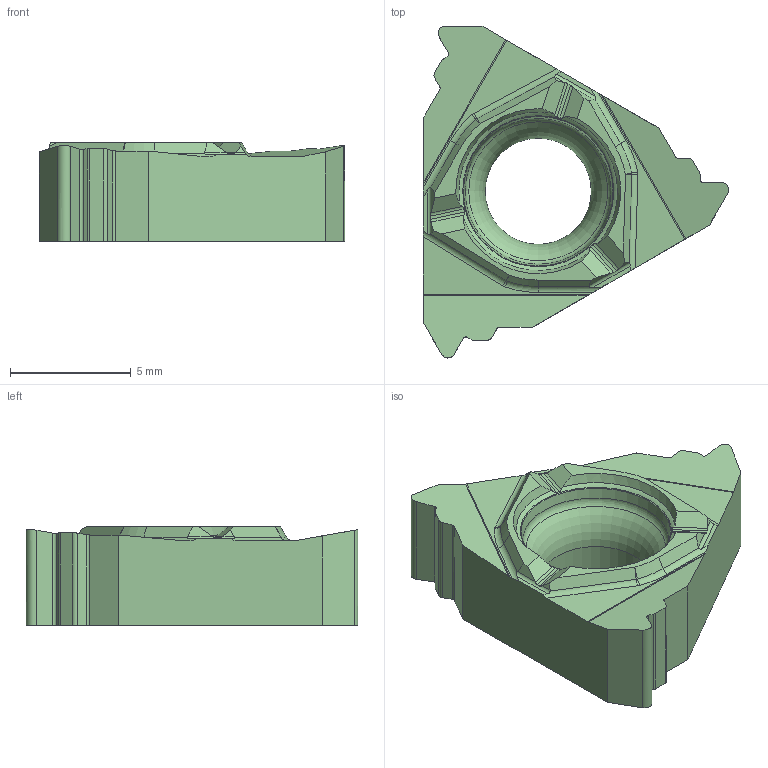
import cadquery as cq
import math

CORNER_COUNT = 3
CORNER_PITCH = 360 / CORNER_COUNT

TOTAL_HEIGHT = 4.1
FLOOR_HEIGHT = 3.51

INSCRIBED_RADIUS = 9.525 / 2
LEFT_SIDE = (180, INSCRIBED_RADIUS)
LEADING_FLANK = (210, 6.845)
TRAILING_FLANK = (330, 0.36)
ROOT_WALL = (240, 6.713)
CREST = (270, 6.17)
SHOULDER_WALL = (330, 1.366)
SHOULDER = (270, 5.64)
RIGHT_SIDE = (300, INSCRIBED_RADIUS)
TIP_RADIUS = 0.3
ROOT_RADIUS = 0.12
CREST_RADIUS = 0.2

RAKE_ANGLE = 10
RAKE_START = 4.286
RAKE_BLEND_RADIUS = 0.25

BOSS_ARC_RADIUS = 3.685
BOSS_ARC_START_ANGLE = 270
BOSS_ARC_END_ANGLE = 251
BOSS_OBLIQUE_ANGLE = 238.3
BOSS_WALL_TAPER = 30
BOSS_FOOT_RADIUS = 0.3

END_TOP_DISTANCE = 4.29
END_WALL_TAPER = 20
END_FILLET_RADIUS = 0.16
END_LEDGE_HEIGHT = 3.585
END_Y_RANGE = (-2.1, 0.4)

NOTCH_ANGLE = 192
NOTCH_OFFSET = 0.145
NOTCH_FLOOR_HEIGHT = 3.63
NOTCH_FLOOR_WIDTH = 0.26
NOTCH_FLOOR_RADIUS = 0.2
NOTCH_WALL_ANGLE = 37
NOTCH_START = 2.5

BORE_RADIUS = 4.4 / 2
BORE_THROAT_HEIGHT = 1.25
THROAT_ARC_RADIUS = 2.1
THROAT_ARC_TOP = 2.8
HEAD_WALL_BOTTOM = (3.03, 3.13)
HEAD_WALL_TOP = (3.1, 3.57)
LEDGE_INNER_RADIUS = 3.13
LEDGE_HEIGHT = 3.6
RIM_FOOT = (3.29, 3.72)
RIM_RADIUS = 3.42

REACH = 3 * INSCRIBED_RADIUS
FOOT_REACH = REACH / 2
TOLERANCE = 0.01


def polar(radius, angle):
    """Point at a radius and an angle in degrees."""
    return (radius * math.cos(math.radians(angle)), radius * math.sin(math.radians(angle)))


def turned(point, angle):
    """Point rotated about the origin by an angle in degrees."""
    x, y = point
    c, s = polar(1, angle)
    return (x * c - y * s, x * s + y * c)


def crossing(edge_a, edge_b):
    """Point where two straight edges, each (normal angle, distance), meet."""
    ax, ay = polar(1, edge_a[0])
    bx, by = polar(1, edge_b[0])
    det = ax * by - ay * bx
    return ((edge_a[1] * by - edge_b[1] * ay) / det, (edge_b[1] * ax - edge_a[1] * bx) / det)


def around_corners(solid):
    """The solid repeated at every corner of the insert."""
    return [solid.rotate((0, 0, 0), (0, 0, 1), i * CORNER_PITCH) for i in range(CORNER_COUNT)]


def make_prism():
    """Straight prism with the full plan outline of the insert."""
    edges = [LEFT_SIDE, LEADING_FLANK, TRAILING_FLANK, ROOT_WALL, CREST, SHOULDER_WALL, SHOULDER, RIGHT_SIDE]
    corner = [crossing(a, b) for a, b in zip(edges, edges[1:])]
    outline = [turned(p, i * CORNER_PITCH) for i in range(CORNER_COUNT) for p in corner]
    prism = cq.Workplane("XY").polyline(outline).close().extrude(TOTAL_HEIGHT)

    rounded = [
        (LEADING_FLANK, TRAILING_FLANK, TIP_RADIUS),
        (TRAILING_FLANK, ROOT_WALL, ROOT_RADIUS),
        (ROOT_WALL, CREST, CREST_RADIUS),
        (CREST, SHOULDER_WALL, CREST_RADIUS),
        (SHOULDER_WALL, SHOULDER, ROOT_RADIUS),
    ]
    for edge_a, edge_b, radius in rounded:
        for i in range(CORNER_COUNT):
            x, y = turned(crossing(edge_a, edge_b), i * CORNER_PITCH)
            nearest = cq.selectors.NearestToPointSelector((x, y, TOTAL_HEIGHT / 2))
            prism = prism.edges("|Z").edges(nearest).fillet(radius)
    return prism


def make_boss():
    """Floor slab with the tapered boss on it and a rounded foot.

    The sides of the boss run on to sharp corners beyond the body outline.
    """
    oblique_distance = BOSS_ARC_RADIUS * math.cos(math.radians(BOSS_ARC_END_ANGLE - BOSS_OBLIQUE_ANGLE))
    oblique_edge = (BOSS_OBLIQUE_ANGLE, oblique_distance)
    flat_edge = (BOSS_ARC_START_ANGLE - CORNER_PITCH, BOSS_ARC_RADIUS)
    corner = crossing(flat_edge, oblique_edge)
    arc_mid_angle = (BOSS_ARC_START_ANGLE + BOSS_ARC_END_ANGLE) / 2

    outline = cq.Workplane("XY", origin=(0, 0, TOTAL_HEIGHT)).moveTo(*corner)
    for i in range(CORNER_COUNT):
        turn = i * CORNER_PITCH
        outline = outline.lineTo(*polar(BOSS_ARC_RADIUS, BOSS_ARC_END_ANGLE + turn))
        outline = outline.threePointArc(
            polar(BOSS_ARC_RADIUS, arc_mid_angle + turn),
            polar(BOSS_ARC_RADIUS, BOSS_ARC_START_ANGLE + turn),
        )
        if i < CORNER_COUNT - 1:
            outline = outline.lineTo(*turned(corner, turn + CORNER_PITCH))
    boss = outline.close().extrude(FLOOR_HEIGHT - TOTAL_HEIGHT, taper=-BOSS_WALL_TAPER)

    slab = cq.Workplane("XY").circle(REACH).extrude(FLOOR_HEIGHT)
    foot_box = cq.selectors.BoxSelector(
        (-FOOT_REACH, -FOOT_REACH, FLOOR_HEIGHT - TOLERANCE),
        (FOOT_REACH, FOOT_REACH, FLOOR_HEIGHT + TOLERANCE),
        boundingbox=True,
    )
    return slab.union(boss).edges(foot_box).fillet(BOSS_FOOT_RADIUS)


def make_end_cut():
    """Cutter that leaves the end face and ledge on the boss corner at the -X side."""
    y_low, y_high = END_Y_RANGE
    drop = TOTAL_HEIGHT - END_LEDGE_HEIGHT
    wall_foot = END_TOP_DISTANCE + drop * math.tan(math.radians(END_WALL_TAPER))
    cut = (
        cq.Workplane("XZ", origin=(0, y_high, 0))
        .moveTo(-END_TOP_DISTANCE, TOTAL_HEIGHT)
        .lineTo(-wall_foot, END_LEDGE_HEIGHT)
        .lineTo(-REACH, END_LEDGE_HEIGHT)
        .lineTo(-REACH, TOTAL_HEIGHT)
        .close()
        .extrude(y_high - y_low)
    )
    foot = cq.selectors.NearestToPointSelector((-wall_foot, (y_low + y_high) / 2, END_LEDGE_HEIGHT))
    return cut.edges("|Y").edges(foot).fillet(END_FILLET_RADIUS)


def make_rake():
    """Wedge of the -Y corner: a ramp blended tangentially into the floor."""
    blend = RAKE_BLEND_RADIUS * math.tan(math.radians(RAKE_ANGLE / 2))
    rise = (REACH - RAKE_START) * math.tan(math.radians(RAKE_ANGLE))
    centre = (-RAKE_START + blend, FLOOR_HEIGHT + RAKE_BLEND_RADIUS)

    def blend_point(angle):
        dx, dz = polar(RAKE_BLEND_RADIUS, 270 - angle)
        return (centre[0] + dx, centre[1] + dz)

    return (
        cq.Workplane("YZ", origin=(-REACH, 0, 0))
        .moveTo(*blend_point(0))
        .threePointArc(blend_point(RAKE_ANGLE / 2), blend_point(RAKE_ANGLE))
        .lineTo(-REACH, FLOOR_HEIGHT + rise)
        .lineTo(-REACH, 0)
        .lineTo(centre[0], 0)
        .close()
        .extrude(2 * REACH)
    )


def make_notch():
    """V-shaped cutter with a flat floor running outwards across the boss."""
    depth = TOTAL_HEIGHT - NOTCH_FLOOR_HEIGHT
    half_floor = NOTCH_FLOOR_WIDTH / 2
    half_top = half_floor + depth / math.tan(math.radians(NOTCH_WALL_ANGLE))
    notch = (
        cq.Workplane("YZ", origin=(NOTCH_START, 0, 0))
        .moveTo(NOTCH_OFFSET - half_floor, NOTCH_FLOOR_HEIGHT)
        .lineTo(NOTCH_OFFSET + half_floor, NOTCH_FLOOR_HEIGHT)
        .lineTo(NOTCH_OFFSET + half_top, TOTAL_HEIGHT)
        .lineTo(NOTCH_OFFSET - half_top, TOTAL_HEIGHT)
        .close()
        .extrude(REACH)
        .edges("|X and <Z")
        .fillet(NOTCH_FLOOR_RADIUS)
    )
    return notch.rotate((0, 0, 0), (0, 0, 1), NOTCH_ANGLE)


def make_bore():
    """Stepped screw bore: cylinder, curved throat, steep head wall, ledge and flared rim."""
    throat_centre = (BORE_RADIUS + THROAT_ARC_RADIUS, BORE_THROAT_HEIGHT)
    throat_angle = math.degrees(math.asin((THROAT_ARC_TOP - BORE_THROAT_HEIGHT) / THROAT_ARC_RADIUS))

    def throat_point(angle):
        dx, dz = polar(THROAT_ARC_RADIUS, 180 - angle)
        return (throat_centre[0] + dx, throat_centre[1] + dz)

    return (
        cq.Workplane("XZ")
        .moveTo(0, 0)
        .lineTo(BORE_RADIUS, 0)
        .lineTo(BORE_RADIUS, BORE_THROAT_HEIGHT)
        .threePointArc(throat_point(throat_angle / 2), throat_point(throat_angle))
        .tangentArcPoint(HEAD_WALL_BOTTOM, relative=False)
        .lineTo(*HEAD_WALL_TOP)
        .lineTo(LEDGE_INNER_RADIUS, LEDGE_HEIGHT)
        .tangentArcPoint(RIM_FOOT, relative=False)
        .lineTo(RIM_RADIUS, TOTAL_HEIGHT)
        .lineTo(0, TOTAL_HEIGHT)
        .close()
        .revolve(360, (0, 0, 0), (0, 1, 0))
    )


blank = make_boss()
for rake in around_corners(make_rake()):
    blank = blank.union(rake)
result = make_prism().intersect(blank).cut(make_bore())
for cutter in around_corners(make_end_cut()) + around_corners(make_notch()):
    result = result.cut(cutter)